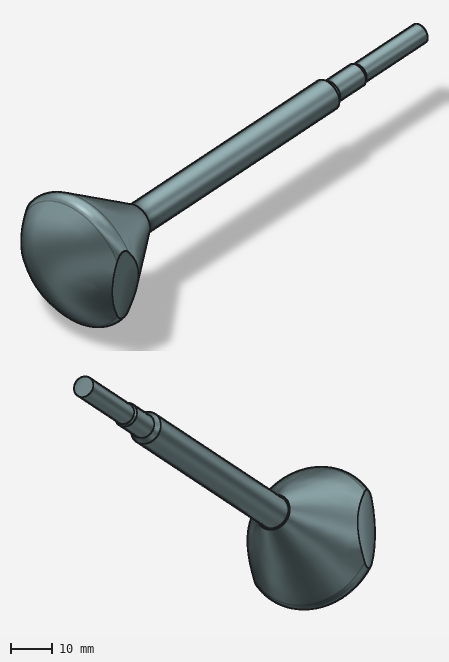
import cadquery as cq
import math

length = 132.0

tip_radius = 2.6
neck_radius = 3.0
rod_radius = 4.1
tip_length = 21.9
tip_taper_length = 0.8
neck_length = 9.2
rod_taper_length = 1.5

knob_length = 30.1
knob_diameter = 36.0
knob_width = 30.0
collar_radius = 4.5
crown_radius = 25.0
rim_radius = 3.0

knob_radius = knob_diameter / 2

tip_end = length - tip_length
neck_start = tip_end - tip_taper_length
neck_end = neck_start - neck_length
rod_start = neck_end - rod_taper_length

rim_center_r = knob_radius - rim_radius
crown_to_rim = crown_radius - rim_radius
rim_center_y = crown_radius - math.sqrt(crown_to_rim**2 - rim_center_r**2)


def on_rim(angle):
    """Point of the rim circle at an angle measured from the outward radial direction."""
    return (
        rim_center_r + rim_radius * math.cos(angle),
        rim_center_y + rim_radius * math.sin(angle),
    )


crown_angle = math.atan2(rim_center_y - crown_radius, rim_center_r)

collar_dr = collar_radius - rim_center_r
collar_dy = knob_length - rim_center_y
collar_distance = math.hypot(collar_dr, collar_dy)
cone_angle = math.atan2(collar_dy, collar_dr) - math.acos(rim_radius / collar_distance)

crown_half_sweep = (math.pi / 2 + crown_angle) / 2
crown_middle = (
    crown_radius * math.sin(crown_half_sweep),
    crown_radius * (1 - math.cos(crown_half_sweep)),
)


def make_knob():
    """Revolved knob with a spherical crown, trimmed by two flats square to X."""
    body = (
        cq.Workplane("XY")
        .moveTo(0, 0)
        .threePointArc(crown_middle, on_rim(crown_angle))
        .threePointArc(on_rim((crown_angle + cone_angle) / 2), on_rim(cone_angle))
        .lineTo(collar_radius, knob_length)
        .lineTo(0, knob_length)
        .close()
        .revolve(360, (0, 0, 0), (0, 1, 0))
    )
    between_flats = cq.Workplane("XY").box(knob_width, 2 * length, length)
    return body.intersect(between_flats)


def make_shank():
    """Stepped round shank, starting inside the knob so that the two fuse."""
    root = knob_length / 2
    return (
        cq.Workplane("XY")
        .moveTo(0, root)
        .lineTo(rod_radius, root)
        .lineTo(rod_radius, rod_start)
        .lineTo(neck_radius, neck_end)
        .lineTo(neck_radius, neck_start)
        .lineTo(tip_radius, tip_end)
        .lineTo(tip_radius, length)
        .lineTo(0, length)
        .close()
        .revolve(360, (0, 0, 0), (0, 1, 0))
    )


result = make_knob().union(make_shank())